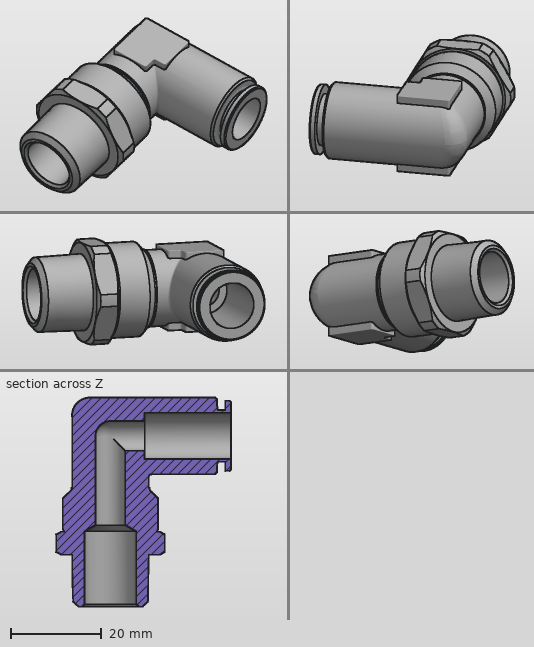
import cadquery as cq
import math

length = 46.1
body_dia = 16.95
body_radius = body_dia / 2
branch_y = length - body_radius
outer_corner_fillet = 4.05
inner_corner_fillet = 0.4

thread_tip_dia = 14.0
thread_start_dia = 16.55
thread_root_dia = 16.9
thread_chamfer_y = 1.15
thread_root_y = 11.05

hex_flats = 22.0
hex_corner_dia = 23.95
hex_face_dia = 21.85
hex_bottom_y = 11.5
hex_top_y = 16.55
hex_chamfer = 0.6
hex_turn = 30

collar_dia = 21.0
collar_base_dia = 20.38
collar_start_y = 17.05
collar_end_y = 23.93
collar_cone_y = 25.72
collar_neck_y = 26.2
collar_neck_dia = 17.35

branch_end_x = 23.5
branch_chamfer = 0.45
lip_dia = 13.28
lip_end_x = 23.7
sleeve_dia = 11.5
flange_dia = 15.5
flange_start_x = 25.25
sleeve_end_x = 26.55
flange_chamfer = 0.28

pad_reach = 7.5
pad_half_width = 4.45
pad_height = 17.9
pad_corner_radius = 0.45
pad_rim_fillet = 0.115

inlet_mouth_dia = 12.65
inlet_dia = 11.4
inlet_chamfer = (inlet_mouth_dia - inlet_dia) / 2
inlet_depth = 16.6
passage_dia = 6.5
inlet_cone_half_angle = 60.0
inlet_cone_length = (inlet_dia - passage_dia) / 2 / math.tan(math.radians(inlet_cone_half_angle))
tube_dia = 10.15
tube_stop_x = pad_reach


def turned_on_y(steps):
    """Solid turned about Y from (diameter, y) steps."""
    profile = [(0, steps[0][1])] + [(dia / 2, y) for dia, y in steps] + [(0, steps[-1][1])]
    return cq.Workplane("XY").polyline(profile).close().revolve(360, (0, 0), (0, 1))


def turned_on_branch(steps):
    """Solid turned about the branch axis from (diameter, x) steps."""
    profile = [(steps[0][1], 0)] + [(x, dia / 2) for dia, x in steps] + [(steps[-1][1], 0)]
    plane = cq.Workplane("XY", origin=(0, branch_y, 0))
    return plane.polyline(profile).close().revolve(360, (0, 0), (1, 0))


def mitred_elbow():
    """Two equal cylinders mitred at 45 degrees."""
    reach = branch_y - hex_top_y
    outside_corner = (-body_radius, body_radius)
    inside_corner = (body_radius, -body_radius)
    plane = cq.Workplane("XY", origin=(0, branch_y, -body_radius))
    stem_side = plane.polyline(
        [outside_corner, inside_corner, (body_radius, -reach), (-body_radius, -reach)]
    ).close().extrude(body_dia)
    branch_side = plane.polyline(
        [outside_corner, inside_corner, (reach, -body_radius), (reach, body_radius)]
    ).close().extrude(body_dia)
    stem = turned_on_y([(body_dia, branch_y - reach), (body_dia, length)]).intersect(stem_side)
    branch = turned_on_branch([(body_dia, -body_radius), (body_dia, reach)]).intersect(branch_side)
    return stem.union(branch)


def pads():
    """L-shaped block whose two ends stand out above and below the elbow."""
    outline = [
        (-pad_half_width, pad_half_width),
        (pad_reach, pad_half_width),
        (pad_reach, -pad_half_width),
        (pad_half_width, -pad_half_width),
        (pad_half_width, -pad_reach),
        (-pad_half_width, -pad_reach),
    ]
    plane = cq.Workplane("XY", origin=(0, branch_y, -pad_height / 2))
    block = plane.polyline(outline).close().extrude(pad_height).edges("|Z").fillet(pad_corner_radius)
    return block.faces("|Z").edges().fillet(pad_rim_fillet)


def elbow_with_pads():
    """Elbow and pads, with the exposed stretches of the mitre rounded."""
    elbow = mitred_elbow().union(pads())
    outer_side = cq.selectors.BoxSelector(
        (-body_dia, branch_y, -body_dia), (-pad_half_width, length, body_dia)
    )
    inner_side = cq.selectors.BoxSelector(
        (pad_half_width, 0, -body_dia), (body_dia, branch_y - pad_half_width, body_dia)
    )
    elbow = elbow.edges("%ELLIPSE").edges(outer_side).fillet(outer_corner_fillet)
    return elbow.edges("%ELLIPSE").edges(inner_side).fillet(inner_corner_fillet)


def hexagon():
    """Hexagon with flats facing +Z and -Z, and turned corners."""
    prism = cq.Workplane("XZ", origin=(0, hex_top_y, 0)).polygon(6, hex_flats, circumscribed=True)
    prism = prism.extrude(hex_top_y - hex_bottom_y).rotate((0, 0, 0), (0, 1, 0), hex_turn)
    corner_turning = turned_on_y([
        (hex_face_dia, hex_bottom_y),
        (hex_corner_dia, hex_bottom_y + hex_chamfer),
        (hex_corner_dia, hex_top_y - hex_chamfer),
        (hex_face_dia, hex_top_y),
    ])
    return prism.intersect(corner_turning)


def threaded_end():
    """Tapered thread envelope running up into the hexagon."""
    return turned_on_y([
        (thread_tip_dia, 0),
        (thread_start_dia, thread_chamfer_y),
        (thread_root_dia, thread_root_y),
        (body_dia, hex_bottom_y),
        (body_dia, hex_top_y),
    ])


def collar():
    """Round collar with a conical shoulder up to the elbow."""
    return turned_on_y([
        (collar_base_dia, hex_top_y),
        (collar_dia, collar_start_y),
        (collar_dia, collar_end_y),
        (collar_neck_dia, collar_cone_y),
        (collar_neck_dia, collar_neck_y),
    ])


def branch_end():
    """Branch barrel with its lip, release sleeve and sleeve flange."""
    return turned_on_branch([
        (body_dia, body_radius),
        (body_dia, branch_end_x - branch_chamfer),
        (body_dia - 2 * branch_chamfer, branch_end_x),
        (lip_dia, branch_end_x),
        (sleeve_dia, lip_end_x),
        (sleeve_dia, flange_start_x),
        (flange_dia, flange_start_x),
        (flange_dia, sleeve_end_x - flange_chamfer),
        (flange_dia - 2 * flange_chamfer, sleeve_end_x),
    ])


def flow_passage():
    """Inlet bore, cross passage with a ball end, and tube socket."""
    inlet = turned_on_y([
        (inlet_mouth_dia, 0),
        (inlet_dia, inlet_chamfer),
        (inlet_dia, inlet_depth),
        (passage_dia, inlet_depth + inlet_cone_length),
        (passage_dia, branch_y),
    ])
    tube_socket = turned_on_branch([
        (passage_dia, 0),
        (passage_dia, tube_stop_x),
        (tube_dia, tube_stop_x),
        (tube_dia, sleeve_end_x),
    ])
    ball_end = cq.Workplane("XY", origin=(0, branch_y, 0)).sphere(passage_dia / 2)
    return inlet.union(tube_socket).union(ball_end)


outside = elbow_with_pads()
for piece in (collar(), hexagon(), threaded_end(), branch_end()):
    outside = outside.union(piece)
result = outside.cut(flow_passage())